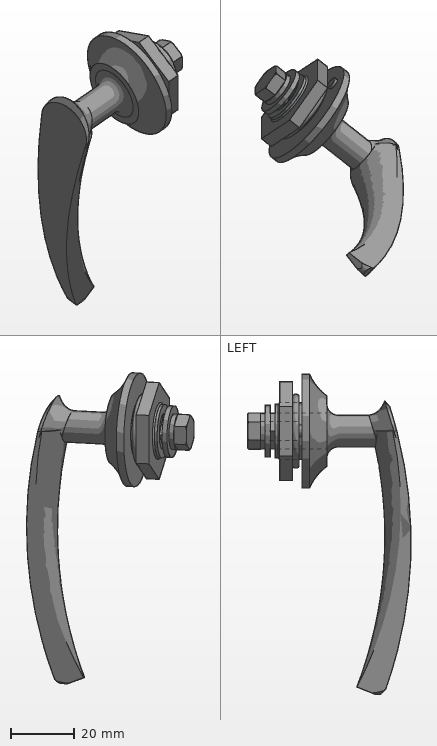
import cadquery as cq
import math


RIM_RADIUS = 18.0
RIM_THICKNESS = 2.4
DISH_FRONT_Y = -7.9
DISH_FRONT_RADIUS = 11.1
DISH_MID_Y = -5.0
DISH_MID_RADIUS = 13.7
BUSHING_RADIUS = 9.0
BUSHING_END_RADIUS = 8.5
BUSHING_END_Y = 8.5
BUSHING_NECK_LENGTH = 0.9
PIN_RADIUS = 1.9
PIN_HEIGHT = 0.9
PIN_X = -12.9

SEAL_RADIUS = 11.7
SEAL_FRONT_Y = PIN_HEIGHT
SEAL_BULGE = 0.6
NUT_FRONT_Y = 2.9
NUT_REAR_Y = 7.1
NUT_FLATS = 27.1

WASHER_FRONT_Y = 10.0
WASHER_REAR_Y = 11.6
WASHER_RADIUS = 8.2
SPRING_REAR_Y = 13.1
SPRING_RADIUS = 5.7
BOLT_REAR_Y = 17.2
BOLT_FLATS = 10.0
BOLT_THREAD_RADIUS = 3.0
BOLT_CHAMFER = 0.4
BOLT_DEPTH = 12.1

SPINDLE_RADIUS = 5.7
NECK_RADIUS = 5.0
NECK_FILLET = 3.5
NECK_END_Y = -23.7

HEAD_Y = -29.0
HEAD_TILT = 17.0
HEAD_RADIUS = 10.0
FLARE_START_Y = -22.6
FLARE_MID_Y = -26.5
FLARE_MID_HALF_WIDTH = 8.1
FLARE_MID_HALF_HEIGHT = 7.0
RIM_DEPTH = 1.5
RIM_HALF_HEIGHT = 6.7

FACE_ARC = ((-27.7, 7.8), (-34.4, -33.3), (-26.5, -81.4))
EDGE_ARC = ((-26.2, 9.7), (-31.2, -23.2), (-17.6, -80.2))
RIDGE_ARC = ((-23.1, -5.4), (-26.1, -35.4), (-17.5, -80.2))
BLADE_TOP_HALF_WIDTH = 10.0
BLADE_TIP_HALF_WIDTH = 2.0
BLADE_TIP_NARROWING = 1.5
BLADE_TIP_Z = -83.0
TIP_ROUND_Z = -81.5
BLADE_SECTIONS = 6
FACE_ALLOWANCE = 0.5
BLADE_FRONT_Y = -36.4
TIP_REAR = (-17.2, -80.7)
TIP_LOW_REAR_Y = -23.0
TIP_LOW_FRONT_Y = -24.7


def disc(radius, y_start, y_end, x=0.0):
    """Cylinder along Y."""
    plane = cq.Plane(origin=(x, y_start, 0), xDir=(1, 0, 0), normal=(0, 1, 0))
    return cq.Workplane(plane).circle(radius).extrude(y_end - y_start)


def prism(sides, circumradius, y_start, y_end):
    """Regular prism along Y with one corner pointing to +Z."""
    plane = cq.Plane(origin=(0, y_start, 0), xDir=(0, 0, 1), normal=(0, 1, 0))
    return cq.Workplane(plane).polygon(sides, 2 * circumradius).extrude(y_end - y_start)


def hexagon(across_flats, y_start, y_end):
    return prism(6, across_flats / math.sqrt(3), y_start, y_end)


def square_end(y_start, y_end):
    """Square part of the spindle, its corners on the spindle cylinder."""
    return prism(4, SPINDLE_RADIUS, y_start, y_end)


def arc_circle(arc):
    """Centre (y, z) and radius of the circle through three (y, z) points."""
    (ay, az), (by, bz), (cy, cz) = arc
    det = 2 * ((by - ay) * (cz - az) - (cy - ay) * (bz - az))
    b_sq = (by - ay) ** 2 + (bz - az) ** 2
    c_sq = (cy - ay) ** 2 + (cz - az) ** 2
    dy = ((cz - az) * b_sq - (bz - az) * c_sq) / det
    dz = ((by - ay) * c_sq - (cy - ay) * b_sq) / det
    return ay + dy, az + dz, math.hypot(dy, dz)


def arc_y(arc, z):
    """The y of an arc at height z, on its side towards -Y."""
    centre_y, centre_z, radius = arc_circle(arc)
    return centre_y - math.sqrt(radius**2 - (z - centre_z) ** 2)


def make_escutcheon():
    chamfer_end_y = BUSHING_END_Y - BUSHING_NECK_LENGTH
    chamfer_start_y = chamfer_end_y - (BUSHING_RADIUS - BUSHING_END_RADIUS)
    profile = (
        cq.Workplane("XY")
        .moveTo(SPINDLE_RADIUS, DISH_FRONT_Y)
        .lineTo(DISH_FRONT_RADIUS, DISH_FRONT_Y)
        .threePointArc((DISH_MID_RADIUS, DISH_MID_Y), (RIM_RADIUS, -RIM_THICKNESS))
        .lineTo(RIM_RADIUS, 0)
        .lineTo(BUSHING_RADIUS, 0)
        .lineTo(BUSHING_RADIUS, chamfer_start_y)
        .lineTo(BUSHING_END_RADIUS, chamfer_end_y)
        .lineTo(BUSHING_END_RADIUS, BUSHING_END_Y)
        .lineTo(SPINDLE_RADIUS, BUSHING_END_Y)
        .close()
    )
    body = profile.revolve(360, (0, 0, 0), (0, 1, 0))
    pin = disc(PIN_RADIUS, -RIM_THICKNESS / 2, PIN_HEIGHT, PIN_X)
    return body.union(pin)


def make_seal():
    side_radius = SEAL_RADIUS - SEAL_BULGE
    return (
        cq.Workplane("XY")
        .moveTo(BUSHING_RADIUS, SEAL_FRONT_Y)
        .lineTo(side_radius, SEAL_FRONT_Y)
        .threePointArc((SEAL_RADIUS, (SEAL_FRONT_Y + NUT_FRONT_Y) / 2), (side_radius, NUT_FRONT_Y))
        .lineTo(BUSHING_RADIUS, NUT_FRONT_Y)
        .close()
        .revolve(360, (0, 0, 0), (0, 1, 0))
    )


def make_nut():
    return hexagon(NUT_FLATS, NUT_FRONT_Y, NUT_REAR_Y).cut(disc(BUSHING_RADIUS, NUT_FRONT_Y, NUT_REAR_Y))


def make_washer():
    blank = disc(WASHER_RADIUS, WASHER_FRONT_Y, WASHER_REAR_Y)
    return blank.cut(square_end(WASHER_FRONT_Y, WASHER_REAR_Y))


def make_spring_washer():
    blank = disc(SPRING_RADIUS, WASHER_REAR_Y, SPRING_REAR_Y)
    return blank.cut(disc(BOLT_THREAD_RADIUS, WASHER_REAR_Y, SPRING_REAR_Y))


def bolt_shank():
    return disc(BOLT_THREAD_RADIUS, SPRING_REAR_Y - BOLT_DEPTH, SPRING_REAR_Y)


def make_bolt():
    corner_radius = BOLT_FLATS / math.sqrt(3)
    envelope = disc(corner_radius, SPRING_REAR_Y, BOLT_REAR_Y).faces(">Y").chamfer(BOLT_CHAMFER)
    head = hexagon(BOLT_FLATS, SPRING_REAR_Y, BOLT_REAR_Y).intersect(envelope)
    return head.union(bolt_shank())


def make_spindle():
    """Spindle in the bushing, its square end, and the flared neck in front of the escutcheon."""
    round_part = disc(SPINDLE_RADIUS, DISH_FRONT_Y, BUSHING_END_Y)
    square_part = square_end(BUSHING_END_Y, WASHER_REAR_Y)
    flare_radius = NECK_RADIUS + NECK_FILLET
    flare_y = DISH_FRONT_Y - NECK_FILLET
    diagonal = NECK_FILLET * (1 - math.sqrt(0.5))
    neck = (
        cq.Workplane("XY")
        .moveTo(0, DISH_FRONT_Y)
        .lineTo(flare_radius, DISH_FRONT_Y)
        .threePointArc((NECK_RADIUS + diagonal, DISH_FRONT_Y - diagonal), (NECK_RADIUS, flare_y))
        .lineTo(NECK_RADIUS, NECK_END_Y)
        .lineTo(0, NECK_END_Y)
        .close()
        .revolve(360, (0, 0, 0), (0, 1, 0))
    )
    return neck.union(round_part).union(square_part)


def tilted_plane(y):
    """Plane parallel to the rim of the head, crossing the axis at y and facing forward."""
    tilt = math.radians(HEAD_TILT)
    return cq.Plane(origin=(0, y, 0), xDir=(1, 0, 0), normal=(0, -math.cos(tilt), math.sin(tilt)))


def make_head():
    """Flare from the neck to the round rim, and the rim that slopes in towards the face."""
    neck_half_height = NECK_RADIUS / math.cos(math.radians(HEAD_TILT))
    flare_sections = [
        (FLARE_START_Y, NECK_RADIUS, neck_half_height),
        (FLARE_MID_Y, FLARE_MID_HALF_WIDTH, FLARE_MID_HALF_HEIGHT),
        (HEAD_Y, HEAD_RADIUS, HEAD_RADIUS),
    ]
    wires = []
    for y, half_width, half_height in flare_sections:
        wires.append(cq.Workplane(tilted_plane(y)).ellipse(half_width, half_height).wire().val())
    flare = cq.Workplane(cq.Solid.makeLoft(wires))
    rim = (
        cq.Workplane(tilted_plane(HEAD_Y))
        .ellipse(HEAD_RADIUS, HEAD_RADIUS)
        .workplane(offset=RIM_DEPTH)
        .ellipse(HEAD_RADIUS, RIM_HALF_HEIGHT)
        .loft(ruled=True)
    )
    return flare.union(rim)


def blade_section(z):
    """Level section: straight front, sides that close in towards the rear, and an arched back.

    The front stands proud of the face by an allowance that is cut off with the whole handle.
    """
    share = z / TIP_ROUND_Z
    half_width = BLADE_TOP_HALF_WIDTH + share * (BLADE_TIP_HALF_WIDTH - BLADE_TOP_HALF_WIDTH)
    edge_half_width = half_width - share * BLADE_TIP_NARROWING
    edge_y = arc_y(EDGE_ARC, z)
    front_y = arc_y(FACE_ARC, z) - FACE_ALLOWANCE
    return (
        cq.Workplane("XY", origin=(0, 0, z))
        .moveTo(-half_width, front_y)
        .lineTo(half_width, front_y)
        .lineTo(edge_half_width, edge_y)
        .threePointArc((0, arc_y(RIDGE_ARC, z)), (-edge_half_width, edge_y))
        .close()
        .val()
    )


def make_blade():
    heights = [BLADE_TIP_Z * i / (BLADE_SECTIONS - 1) for i in range(BLADE_SECTIONS)]
    blank = cq.Workplane(cq.Solid.makeLoft([blade_section(z) for z in heights]))
    tip_outline = (
        cq.Workplane("XZ")
        .moveTo(-BLADE_TOP_HALF_WIDTH, 0)
        .lineTo(-BLADE_TIP_HALF_WIDTH, TIP_ROUND_Z)
        .threePointArc((0, BLADE_TIP_Z), (BLADE_TIP_HALF_WIDTH, TIP_ROUND_Z))
        .lineTo(BLADE_TOP_HALF_WIDTH, 0)
        .close()
        .extrude(-BLADE_FRONT_Y)
    )
    tip_end = (
        cq.Workplane("YZ")
        .lineTo(*TIP_REAR)
        .lineTo(TIP_LOW_REAR_Y, BLADE_TIP_Z)
        .lineTo(TIP_LOW_FRONT_Y, BLADE_TIP_Z)
        .lineTo(*FACE_ARC[-1])
        .lineTo(BLADE_FRONT_Y, FACE_ARC[-1][1])
        .lineTo(BLADE_FRONT_Y, 0)
        .close()
        .extrude(BLADE_TOP_HALF_WIDTH, both=True)
    )
    return blank.intersect(tip_outline).intersect(tip_end)


def make_handle():
    """One casting, its front face being part of a large cylinder along X."""
    centre_y, centre_z, radius = arc_circle(FACE_ARC)
    face_cylinder = (
        cq.Workplane("YZ").center(centre_y, centre_z).circle(radius).extrude(RIM_RADIUS, both=True)
    )
    casting = make_spindle().union(make_head()).union(make_blade()).intersect(face_cylinder)
    return casting.cut(bolt_shank())


escutcheon = make_escutcheon()
seal = make_seal()
nut = make_nut()
washer = make_washer()
spring_washer = make_spring_washer()
bolt = make_bolt()
handle = make_handle()

result = cq.Compound.makeCompound(
    [
        escutcheon.val(),
        seal.val(),
        nut.val(),
        washer.val(),
        spring_washer.val(),
        bolt.val(),
        handle.val(),
    ]
)